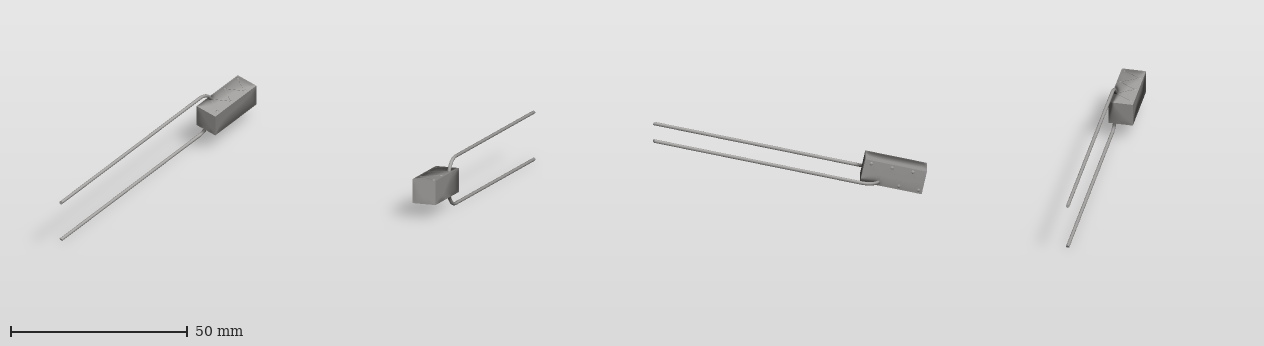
import cadquery as cq
import math

STACK_SIZE = 7.0
STACK_LENGTH = 17.86
END_PLATE_THICKNESS = 0.5
LAYER_THICKNESS = 3.0
FULL_LAYERS = 5
BACK_LAYER_THICKNESS = 0.3

DOT_DIAMETER = 1.0
DOT_INSET = 1.0
DOT_X = STACK_SIZE / 2 - DOT_INSET
BACK_DOT_Y = 16.7
STRIP_WIDTH = 0.2
STRIP_HEIGHT = 0.1
DOT_HEIGHT = 0.2

LEAD_DIAMETER = 1.0
LEAD_DOT = 1
LEAD_RISE = 3.367
LEAD_STRAIGHT = 60.0

FACE_Z = STACK_SIZE / 2


def plate(front_y, back_y):
    """Square slab across the whole section, between two Y positions."""
    return cq.Workplane("XY").box(
        STACK_SIZE, back_y - front_y, STACK_SIZE, centered=(True, False, True)
    ).translate((0, front_y, 0))


def make_stack():
    """Layers joined into one solid, keeping the joint lines on its sides."""
    joints = [END_PLATE_THICKNESS + i * LAYER_THICKNESS for i in range(FULL_LAYERS + 1)]
    joints += [STACK_LENGTH - BACK_LAYER_THICKNESS, STACK_LENGTH]
    stack = plate(joints[0], joints[1])
    for front_y, back_y in zip(joints[1:], joints[2:]):
        stack = stack.union(plate(front_y, back_y), clean=False)
    return stack


def dot_positions():
    """Dots alternate right and left: one mid-layer on each full layer, then the back dot."""
    ys = [END_PLATE_THICKNESS + (i + 0.5) * LAYER_THICKNESS for i in range(FULL_LAYERS)]
    ys.append(BACK_DOT_Y)
    return [(DOT_X if i % 2 == 0 else -DOT_X, y) for i, y in enumerate(ys)]


def make_strip(start, end):
    """Straight thin strip between two dot centres."""
    dx = end[0] - start[0]
    dy = end[1] - start[1]
    return (
        cq.Workplane("XY", origin=((start[0] + end[0]) / 2, (start[1] + end[1]) / 2, FACE_Z))
        .transformed(rotate=(0, 0, math.degrees(math.atan2(dy, dx))))
        .rect(math.hypot(dx, dy), STRIP_WIDTH)
        .extrude(STRIP_HEIGHT)
    )


def make_dot(x, y):
    """Shallow spherical dome standing on the top face."""
    radius = DOT_DIAMETER / 2
    dome_radius = (radius**2 + DOT_HEIGHT**2) / (2 * DOT_HEIGHT)
    half_angle = math.asin(radius / dome_radius) / 2
    mid_x = dome_radius * math.sin(half_angle)
    mid_z = DOT_HEIGHT - dome_radius * (1 - math.cos(half_angle))
    return (
        cq.Workplane("XZ")
        .lineTo(radius, 0)
        .threePointArc((mid_x, mid_z), (0, DOT_HEIGHT))
        .close()
        .revolve(360, (0, 0), (0, 1))
        .translate((x, y, FACE_Z))
    )


def make_lead(x, y):
    """Round wire whose circle lies on the stack face and is swept along an arc and a line.

    The arc meets the straight run smoothly at Y = 0, and the circle keeps its
    slant to the path, so the free end is cut at that same slant.
    """
    bend_radius = (y**2 + LEAD_RISE**2) / (2 * LEAD_RISE)
    bend_angle = math.asin(y / bend_radius)
    top_z = FACE_Z + LEAD_RISE
    mid_y = bend_radius * math.sin(bend_angle / 2)
    mid_z = top_z - bend_radius * (1 - math.cos(bend_angle / 2))
    path = (
        cq.Workplane("YZ", origin=(x, 0, 0))
        .moveTo(y, FACE_Z)
        .threePointArc((mid_y, mid_z), (0, top_z))
        .lineTo(-LEAD_STRAIGHT, top_z)
    )
    return (
        cq.Workplane("XY", origin=(x, y, FACE_Z))
        .circle(LEAD_DIAMETER / 2)
        .sweep(path)
    )


def make_wiring():
    """Lead, zigzag strip and dots of the top face as one conductor; the lead stands in for its dot."""
    dots = dot_positions()
    wiring = make_lead(*dots[LEAD_DOT])
    for start, end in zip(dots, dots[1:]):
        wiring = wiring.union(make_strip(start, end))
    for i, dot in enumerate(dots):
        if i != LEAD_DOT:
            wiring = wiring.union(make_dot(*dot))
    return wiring


end_plate = plate(0, END_PLATE_THICKNESS)
stack = make_stack()
top_wiring = make_wiring()
wirings = [top_wiring, top_wiring.mirror("XY")]

result = cq.Compound.makeCompound(
    [end_plate.val(), stack.solids().val()] + [wiring.solids().val() for wiring in wirings]
)